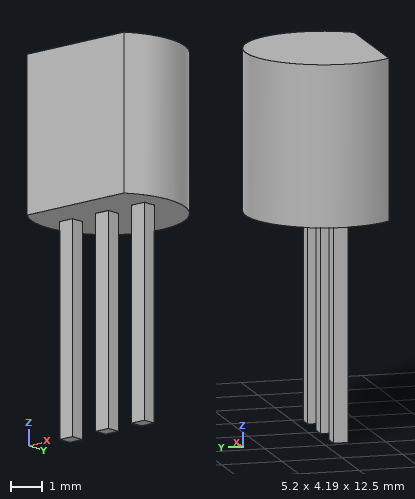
import cadquery as cq
import math

TOTAL_HEIGHT = 12.53
HOUSING_HEIGHT = 5.33
HOUSING_DIAMETER = 5.2
HOUSING_DEPTH = 4.19

LEAD_COUNT = 3
LEAD_PITCH = 1.53
LEAD_WIDTH = 0.55
LEAD_THICKNESS = 0.49
LEAD_CENTER_FROM_FLAT = 1.53

housing_radius = HOUSING_DIAMETER / 2
flat_y = housing_radius - HOUSING_DEPTH
flat_half_width = math.sqrt(housing_radius**2 - flat_y**2)
lead_length = TOTAL_HEIGHT - HOUSING_HEIGHT
lead_y = flat_y + LEAD_CENTER_FROM_FLAT


def make_housing():
    """Round housing with a flat front face."""
    return (
        cq.Workplane("XY")
        .moveTo(-flat_half_width, flat_y)
        .threePointArc((0, housing_radius), (flat_half_width, flat_y))
        .close()
        .extrude(HOUSING_HEIGHT)
    )


def make_lead(lead_x):
    """Rectangular lead hanging from the lower face of the housing."""
    return (
        cq.Workplane("XY")
        .center(lead_x, lead_y)
        .rect(LEAD_WIDTH, LEAD_THICKNESS)
        .extrude(-lead_length)
    )


housing = make_housing()

leads = []
for index in range(LEAD_COUNT):
    lead_x = (index - (LEAD_COUNT - 1) / 2) * LEAD_PITCH
    leads.append(make_lead(lead_x).val())

result = cq.Compound.makeCompound([housing.val(), *leads])